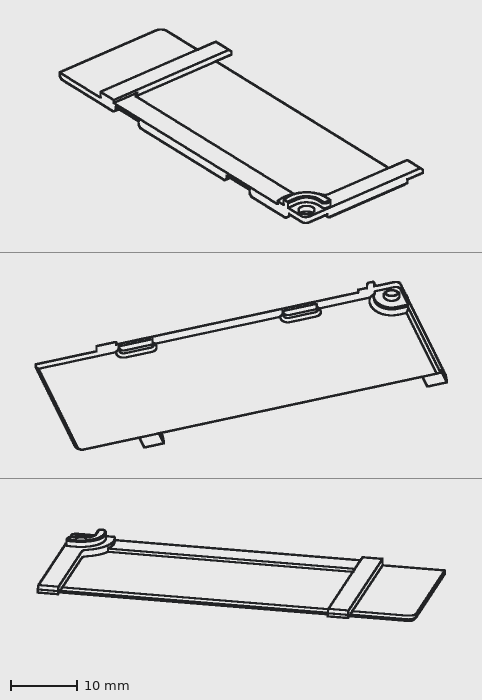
import cadquery as cq

length = 57.6
plate_width = 20.15
bar_reach = 23.2
layer = 0.5
floor_top = 2 * layer
rim_top = 3 * layer
deck_top = 4 * layer
ridge_top = 3.05
left_corner_radius = 1.15
right_corner_radius = 0.75

bar_width = 3.1
left_bar_start = 9.6
right_bar_start = length - bar_width
bar_tip_chamfer = 0.5

rim_width = 3.8
recess_corner_radius = 0.85

edge_bevel = 0.45
relief_bevel = 0.65
notch_starts = (13.15, 39.15)
notch_width = 5.35
notch_depth = 1.15
notch_corner_radius = 0.65

hole_x = length - 1.7
hole_y = 1.7
hole_diameter = 2.4
deck_radius = 5.05
deck_blend_radius = 0.85
ridge_outer_radius = 3.75
ridge_inner_radius = 2.25
ridge_end = length - 0.25
ridge_top_chamfer = 0.2
ridge_end_radius = 0.45
underside_cut_radius = 2.7


def block(x0, x1, y0, y1, z0, z1):
    """Box given by its limits along each axis."""
    return cq.Workplane("XY").box(x1 - x0, y1 - y0, z1 - z0, centered=False).translate((x0, y0, z0))


def screw_disc(radius, z0, z1):
    """Disc around the screw hole axis."""
    return cq.Workplane("XY", origin=(hole_x, hole_y, z0)).circle(radius).extrude(z1 - z0)


def build_lower_layer():
    """Bottom layer with notches, a screw corner relief and a bevelled lower edge."""
    layer_body = block(0, length, 0, plate_width, 0, floor_top)
    layer_body = layer_body.edges("|Z and >Y and <X").fillet(left_corner_radius)
    for start in notch_starts:
        notch = block(start, start + notch_width, -notch_depth, notch_depth, 0, floor_top)
        layer_body = layer_body.cut(notch.edges("|Z and >Y").fillet(notch_corner_radius))
    relief = screw_disc(underside_cut_radius, 0, floor_top)
    relief = relief.union(block(hole_x, length, 0, hole_y + underside_cut_radius, 0, floor_top))

    bevel_edges = layer_body.faces("<Z").edges(cq.selectors.BoxSelector(
        (-0.6, layer / 10, -layer), (length + 0.6, bar_reach, layer / 10)))
    layer_body = bevel_edges.chamfer(edge_bevel)

    flare_radius = underside_cut_radius + relief_bevel
    profile = [(0, 0), (flare_radius, 0), (underside_cut_radius, relief_bevel), (0, relief_bevel)]
    cone = cq.Workplane("XZ").polyline(profile).close().revolve(360, (0, 0), (0, 1))
    ramp = cq.Workplane("YZ").polyline(profile).close().extrude(length - hole_x)
    flare = cone.union(ramp).translate((hole_x, hole_y, 0))
    return layer_body.cut(relief).cut(flare)


def build_bar(start):
    """Cross bar that overhangs the back of the plate, with a bevelled tip."""
    bar = block(start, start + bar_width, 0, bar_reach, floor_top, deck_top)
    return bar.edges(">Y and >Z").chamfer(bar_tip_chamfer)


def build_right_frame():
    """Right bar blended into the round deck of the screw corner."""
    frame = build_bar(right_bar_start).union(screw_disc(deck_radius, floor_top, deck_top))
    frame = frame.intersect(block(0, length, 0, bar_reach, floor_top, deck_top))
    blend_y = hole_y + (deck_radius**2 - (hole_x - right_bar_start)**2) ** 0.5
    blend_point = (right_bar_start, blend_y, (floor_top + deck_top) / 2)
    frame = frame.edges(cq.selectors.NearestToPointSelector(blend_point)).fillet(deck_blend_radius)
    return frame.edges("|Z and >X and <Y").fillet(right_corner_radius)


def build_front_rim():
    """Low strip along the front edge, with a fillet where it meets the left bar."""
    rim_start = left_bar_start + bar_width
    recess = block(rim_start, length, rim_width, bar_reach, floor_top, rim_top)
    recess = recess.edges("|Z and <X and <Y").fillet(recess_corner_radius)
    return block(rim_start, hole_x - ridge_outer_radius, 0, 2 * rim_width, floor_top, rim_top).cut(recess)


def build_ridge():
    """Hook-shaped ridge: an arc around the hole with a straight tail to the right.

    The inner wall also runs straight on to the front face.
    """
    outer = screw_disc(ridge_outer_radius, deck_top, ridge_top)
    outer = outer.union(block(hole_x, ridge_end, 0, hole_y + ridge_outer_radius, deck_top, ridge_top))
    inner = screw_disc(ridge_inner_radius, deck_top, ridge_top)
    inner = inner.union(block(hole_x - ridge_inner_radius, length, 0, hole_y, deck_top, ridge_top))
    inner = inner.union(block(hole_x, length, 0, hole_y + ridge_inner_radius, deck_top, ridge_top))
    ridge = outer.cut(inner).intersect(block(0, ridge_end, 0, plate_width, deck_top, ridge_top))
    ridge = ridge.edges("|Z and >X").fillet(ridge_end_radius)
    top_edges = ridge.faces(">Z").edges("not(<Y)")
    return top_edges.chamfer(ridge_top_chamfer)


body = build_lower_layer()
body = body.union(build_bar(left_bar_start))
body = body.union(build_front_rim())
body = body.union(build_right_frame())
body = body.union(build_ridge())
result = body.cut(screw_disc(hole_diameter / 2, 0, ridge_top))